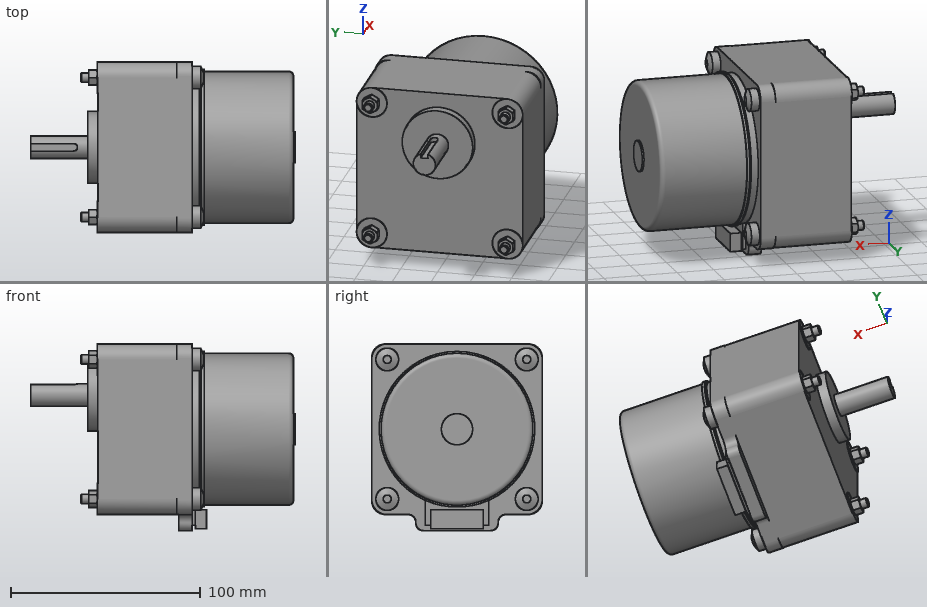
import cadquery as cq
import math


SHAFT_DIAMETER = 12.0
SHAFT_OFFSET = 18.0
KEYWAY_WIDTH = 3.9
KEYWAY_LENGTH = 24.7
KEYWAY_DEPTH = 2.5

BOSS_FRONT = 30.0
PAD_FRONT = 35.0
CASE_FRONT = 35.5
FLANGE_FRONT = 77.0
FLANGE_REAR = 85.1
RING_FRONT = 89.8
RING_REAR = 91.4
MOTOR_REAR = 138.5
TOTAL_LENGTH = 139.5

SQUARE = 90.0
BOLT_SPACING = 73.5
BOSS_DIAMETER = 38.1
CASE_CORNER = (SQUARE - BOLT_SPACING) / 2
FLANGE_CORNER = 7.5

MOTOR_RADIUS = 40.0
RING_RADIUS = 41.0
GROOVE_RADIUS = 39.6
GROOVE_WIDTH = 1.0
MOTOR_EDGE_RADIUS = 2.5
END_CAP_RADIUS = 8.2

TAB_FRONT = 78.0
TAB_DROP = 8.5
TAB_WIDTH = 43.5
TAB_FILLET = 4.0
OUTLET_PLATE_WIDTH = 33.5
OUTLET_PLATE_THICKNESS = 1.7
OUTLET_PLATE_BOTTOM = -50.6
OUTLET_BLOCK_WIDTH = 27.9
OUTLET_BLOCK_LENGTH = 6.0
OUTLET_BLOCK_TOP = -42.4
OUTLET_BLOCK_BOTTOM = -52.5

BOLT_DIAMETER = 5.0
BOLT_TIP = 26.5
BOLT_CHAMFER = 0.5
NUT_FRONT = 30.5
NUT_FLATS = 8.0
NUT_BEVEL_LENGTH = 0.1
NUT_BEVEL_DEPTH = 0.4
HEAD_RADIUS = 6.0
WASHER_THICKNESS = 1.7
SPRING_WASHER_THICKNESS = 1.3
HEAD_RIM = 1.5
HEAD_HEIGHT = 3.2
HEAD_FLAT_RADIUS = 2.1
HEAD_SHOULDER = 2.1
HEAD_SHOULDER_RADIUS = 4.9


def x_disc(radius, x_start, x_end, y=0, z=0):
    """Round disc or rod along X."""
    return cq.Workplane("YZ", origin=(x_start, y, z)).circle(radius).extrude(x_end - x_start)


def rounded_square(corner_radius, x_start, x_end):
    """Square plate across X with its four long edges rounded."""
    plate = cq.Workplane("YZ", origin=(x_start, 0, 0)).rect(SQUARE, SQUARE).extrude(x_end - x_start)
    return plate.edges("|X").fillet(corner_radius)


def bolt_places():
    half = BOLT_SPACING / 2
    return [(y, z) for y in (-half, half) for z in (-half, half)]


def make_gear_case():
    """Gear case with corner pads, front boss and keyed output shaft."""
    case = rounded_square(CASE_CORNER, CASE_FRONT, FLANGE_FRONT)
    for y, z in bolt_places():
        case = case.union(x_disc(CASE_CORNER, PAD_FRONT, CASE_FRONT, y, z))
    case = case.union(x_disc(BOSS_DIAMETER / 2, BOSS_FRONT, CASE_FRONT, z=SHAFT_OFFSET))
    return case.union(make_shaft())


def make_shaft():
    """Shaft with a keyway open at the tip and round at its inner end."""
    radius = SHAFT_DIAMETER / 2
    shaft = x_disc(radius, 0, BOSS_FRONT, z=SHAFT_OFFSET)
    straight = KEYWAY_LENGTH - KEYWAY_WIDTH / 2
    keyway = (
        cq.Workplane("XY", origin=(0, 0, SHAFT_OFFSET + radius - KEYWAY_DEPTH))
        .moveTo(0, -KEYWAY_WIDTH / 2)
        .lineTo(straight, -KEYWAY_WIDTH / 2)
        .threePointArc((KEYWAY_LENGTH, 0), (straight, KEYWAY_WIDTH / 2))
        .lineTo(0, KEYWAY_WIDTH / 2)
        .close()
        .extrude(KEYWAY_DEPTH)
    )
    return shaft.cut(keyway)


def make_motor():
    """Turned motor housing behind the flange, with V-groove, ring and end cap."""
    groove_front = RING_FRONT - GROOVE_WIDTH
    arc_inset = MOTOR_EDGE_RADIUS * (1 - math.sqrt(0.5))
    return (
        cq.Workplane("XZ")
        .moveTo(FLANGE_REAR, 0)
        .lineTo(FLANGE_REAR, MOTOR_RADIUS)
        .lineTo(groove_front, MOTOR_RADIUS)
        .lineTo((groove_front + RING_FRONT) / 2, GROOVE_RADIUS)
        .lineTo(RING_FRONT, MOTOR_RADIUS)
        .lineTo(RING_FRONT, RING_RADIUS)
        .lineTo(RING_REAR, RING_RADIUS)
        .lineTo(RING_REAR, MOTOR_RADIUS)
        .lineTo(MOTOR_REAR - MOTOR_EDGE_RADIUS, MOTOR_RADIUS)
        .threePointArc(
            (MOTOR_REAR - arc_inset, MOTOR_RADIUS - arc_inset),
            (MOTOR_REAR, MOTOR_RADIUS - MOTOR_EDGE_RADIUS),
        )
        .lineTo(MOTOR_REAR, END_CAP_RADIUS)
        .lineTo(TOTAL_LENGTH, END_CAP_RADIUS)
        .lineTo(TOTAL_LENGTH, 0)
        .close()
        .revolve(360, (0, 0, 0), (1, 0, 0))
    )


def make_flange():
    """Motor flange with the tab that hangs below it."""
    bottom = -SQUARE / 2
    half = TAB_WIDTH / 2
    inset = TAB_FILLET * (1 - math.sqrt(0.5))
    root = half + TAB_FILLET
    tip = bottom - TAB_DROP
    tab = (
        cq.Workplane("YZ", origin=(TAB_FRONT, 0, 0))
        .moveTo(root, bottom)
        .threePointArc((half + inset, bottom - inset), (half, bottom - TAB_FILLET))
        .lineTo(half, tip + TAB_FILLET)
        .threePointArc((half - inset, tip + inset), (half - TAB_FILLET, tip))
        .lineTo(0, tip)
        .lineTo(0, 0)
        .lineTo(root, 0)
        .close()
        .extrude(FLANGE_REAR - TAB_FRONT)
    )
    return rounded_square(FLANGE_CORNER, FLANGE_FRONT, FLANGE_REAR).union(tab).union(tab.mirror("XZ"))


def make_cable_outlet():
    """Thin plate on the rear of the tab, carrying a square block."""
    block_front = FLANGE_REAR + OUTLET_PLATE_THICKNESS
    block_height = OUTLET_BLOCK_TOP - OUTLET_BLOCK_BOTTOM
    plate = (
        cq.Workplane("YZ", origin=(FLANGE_REAR, 0, OUTLET_PLATE_BOTTOM / 2))
        .rect(OUTLET_PLATE_WIDTH, -OUTLET_PLATE_BOTTOM)
        .extrude(OUTLET_PLATE_THICKNESS)
    )
    block = (
        cq.Workplane("YZ", origin=(block_front, 0, OUTLET_BLOCK_BOTTOM + block_height / 2))
        .rect(OUTLET_BLOCK_WIDTH, block_height)
        .extrude(OUTLET_BLOCK_LENGTH)
    )
    return plate.union(block)


def make_nut():
    """Hex nut, points up and down, with its corners bevelled at both ends."""
    corner_radius = NUT_FLATS / math.sqrt(3)
    hexagon = (
        cq.Workplane("YZ", origin=(NUT_FRONT, 0, 0))
        .polyline([
            (corner_radius * math.sin(k * math.pi / 3), corner_radius * math.cos(k * math.pi / 3))
            for k in range(6)
        ])
        .close()
        .extrude(PAD_FRONT - NUT_FRONT)
    )
    bevel = x_disc(corner_radius, NUT_FRONT, PAD_FRONT).edges().chamfer(NUT_BEVEL_LENGTH, NUT_BEVEL_DEPTH)
    return hexagon.intersect(bevel)


def make_bolt_head(front):
    """Round head with a straight rim and a domed top that ends in a small flat."""
    dome_start = front + HEAD_RIM
    rear = front + HEAD_HEIGHT
    return (
        cq.Workplane("XZ")
        .moveTo(front, 0)
        .lineTo(front, HEAD_RADIUS)
        .lineTo(dome_start, HEAD_RADIUS)
        .threePointArc((front + HEAD_SHOULDER, HEAD_SHOULDER_RADIUS), (rear, HEAD_FLAT_RADIUS))
        .lineTo(rear, 0)
        .close()
        .revolve(360, (0, 0, 0), (1, 0, 0))
    )


def make_bolt(y, z):
    """Through bolt with nut in front and washer, spring washer and domed head behind."""
    spring_washer_front = FLANGE_REAR + WASHER_THICKNESS
    head_front = spring_washer_front + SPRING_WASHER_THICKNESS
    shank = x_disc(BOLT_DIAMETER / 2, BOLT_TIP, FLANGE_REAR).faces("<X").chamfer(BOLT_CHAMFER)
    washer = x_disc(HEAD_RADIUS, FLANGE_REAR, spring_washer_front)
    spring_washer = x_disc(HEAD_RADIUS, spring_washer_front, head_front)

    bolt = shank.union(make_nut())
    for stacked in (washer, spring_washer, make_bolt_head(head_front)):
        bolt = bolt.union(stacked, clean=False)
    return bolt.translate((0, y, z))


bolts = [make_bolt(y, z) for y, z in bolt_places()]

gearmotor = make_gear_case()
for section in (make_flange(), make_motor(), make_cable_outlet()):
    gearmotor = gearmotor.union(section, clean=False)
for bolt in bolts:
    gearmotor = gearmotor.cut(bolt, clean=False)

result = cq.Compound.makeCompound([gearmotor.val(), *[bolt.val() for bolt in bolts]])